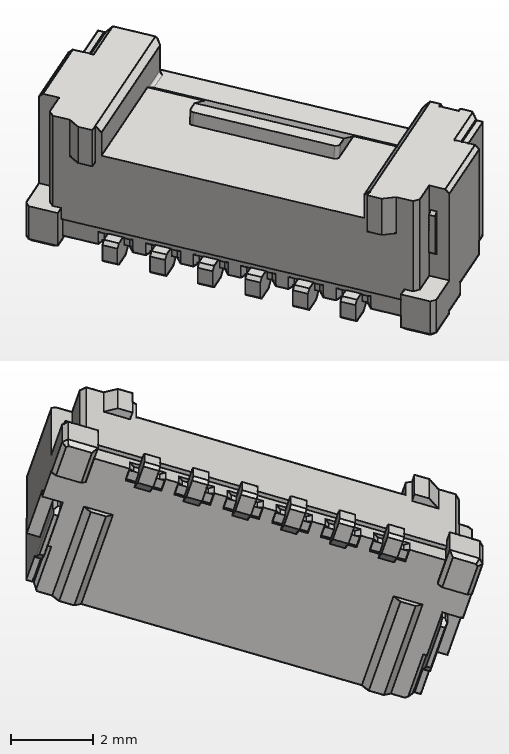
import cadquery as cq
import math

length = 10.75
depth = 4.2
height = 3.9
half_length = length / 2

housing_half = 4.85
housing_front = 0.26
housing_bottom = 0.26
housing_top_chamfer = 0.11
side_chamfer = 0.13
back_chamfer = 0.16
base_chamfer = 0.1

cheek_front = 1.0
cheek_back = 2.96
cheek_foot_back = 1.73
cheek_recess_z = 0.62

gap_half = 3.44
deck_z = 3.04
back_deck_z = 2.93
deck_edge = 3.27
ramp_angle = 30.0
gap_chamfer = 0.16
gap_fillet = 0.09
mouth_chamfer = 0.18

ridge_half = 1.96
ridge_front = 2.24
ridge_draft = 0.05
ridge_top = 3.4
ridge_corner = 0.11

stop_inner = 3.6
stop_tip = 3.98
stop_outer = 4.28
stop_front = 0.06
stop_bottom = 2.81

foot_front = 0.03
foot_inner = 4.49
foot_bottom = 0.06
foot_top = 1.17
foot_chamfer = 0.12

runner_centre = 3.96
runner_top_width = 0.74
runner_bottom_width = 0.39
runner_front = 1.68
runner_bottom = 0.06

nail_outer = 5.04
nail_inner = 4.88
nail_front = 0.9
nail_tip_bottom = 1.87
nail_tip_top = 3.17
nail_tip_chamfer = 0.09
nail_back_bottom = 0.37
nail_heel = 3.35
nail_step = 0.05
nail_sole_back = 3.12
nail_sole_front = 1.99
nail_toe = 1.82
nail_bevel = 0.1
nail_taper_height = 0.17
nail_taper = 0.04

pin_count = 6
pin_pitch = 1.25
pin_width = 0.4
pin_top = 0.65
pin_tail = 0.55
pin_top_chamfer = 0.1
pin_toe_chamfer = 0.09
pin_root = 0.97
pocket_width = 0.91
pocket_inner_width = 0.67
pocket_top = 0.62
pocket_depth = 0.09
relief_height = 0.1
relief_back = 0.7
groove_top = 0.84
groove_depth = 0.11
groove_back = housing_front + groove_depth

mark_centre = 4.13
mark_width = 0.52
mark_depth = 0.1
mark_angle = 60.0

pick_margin = 0.01


def block(x0, x1, y0, y1, z0, z1):
    return cq.Workplane("XY").box(x1 - x0, y1 - y0, z1 - z0, centered=False).translate((x0, y0, z0))


def along_x(points, x0, x1):
    """Prism with a (Y, Z) outline, spanning x0 to x1."""
    return cq.Workplane("YZ").polyline(points).close().extrude(x1 - x0).translate((x0, 0, 0))


def along_y(points, y0, y1):
    """Prism with an (X, Z) outline, spanning y0 to y1."""
    return cq.Workplane("XZ").polyline(points).close().extrude(y0 - y1).translate((0, y0, 0))


def along_z(points, z0, z1):
    """Prism with an (X, Y) outline, spanning z0 to z1."""
    return cq.Workplane("XY").workplane(offset=z0).polyline(points).close().extrude(z1 - z0)


def both_ends(shape):
    return shape.union(shape.mirror("YZ"))


def make_housing():
    housing = block(-housing_half, housing_half, housing_front, depth, housing_bottom, height)
    housing = housing.edges("|Z and <Y").chamfer(side_chamfer)
    housing = housing.edges("|Z and >Y").chamfer(back_chamfer, side_chamfer)
    for side in ("<X", ">X"):
        housing = housing.faces(side).edges("<Z").chamfer(base_chamfer)
    bevel = along_y(
        [
            (-housing_half, height),
            (side_chamfer - housing_half, height),
            (-housing_half, height - housing_top_chamfer),
        ],
        cheek_back,
        depth,
    )
    return housing.cut(both_ends(bevel))


def make_cheek():
    cheek = block(-half_length, -foot_inner, cheek_front, cheek_back, housing_bottom, height)
    cheek = cheek.edges("<X and >Z").chamfer(housing_top_chamfer)
    recess = block(-half_length, -housing_half, cheek_foot_back, cheek_back, housing_bottom, cheek_recess_z)
    return cheek.cut(recess)


def make_foot():
    foot = block(-half_length, -foot_inner, foot_front, cheek_front, foot_bottom, foot_top)
    foot = foot.edges("|Z and <X and <Y").chamfer(foot_chamfer)
    return foot.faces("<Z").edges("not(>Y)").chamfer(foot_chamfer)


def make_gap():
    ramp_foot = deck_edge + (deck_z - back_deck_z) / math.tan(math.radians(ramp_angle))
    outline = [
        (0, deck_z),
        (deck_edge, deck_z),
        (ramp_foot, back_deck_z),
        (depth, back_deck_z),
        (depth, height),
        (0, height),
    ]
    gap = along_x(outline, -gap_half, gap_half)
    floor_edges = cq.selectors.BoxSelector(
        (-half_length, ramp_foot, back_deck_z - pick_margin),
        (half_length, depth, back_deck_z + pick_margin),
    )
    gap = gap.edges(floor_edges).edges("|Y").fillet(gap_fillet)
    top_bevel = along_y(
        [(gap_half, height), (gap_half + gap_chamfer, height), (gap_half, height - gap_chamfer)], 0, depth
    )
    mouth_inner = gap_half - gap_fillet
    mouth = along_z(
        [(mouth_inner, depth), (mouth_inner + mouth_chamfer, depth), (mouth_inner, depth - mouth_chamfer)],
        back_deck_z,
        height,
    )
    return gap.union(both_ends(top_bevel)).union(both_ends(mouth))


def make_ridge():
    ramp_slope = math.tan(math.radians(ramp_angle))
    ridge_back = deck_edge - (ridge_top - deck_z) / ramp_slope
    outline = [
        (ridge_front, deck_z),
        (ridge_front + ridge_draft, ridge_top),
        (ridge_back, ridge_top),
        (deck_edge, deck_z),
    ]
    ridge = along_x(outline, -ridge_half, ridge_half)
    return ridge.faces("<Y").edges("<X or >X").fillet(ridge_corner)


def make_stop():
    outline = [
        (-stop_inner, housing_front),
        (-stop_inner, stop_front),
        (-stop_tip, stop_front),
        (-stop_outer, housing_front),
    ]
    return along_z(outline, stop_bottom, height)


def make_runner():
    top = runner_top_width / 2
    bottom = runner_bottom_width / 2
    outline = [
        (-runner_centre - top, housing_bottom),
        (-runner_centre - bottom, runner_bottom),
        (-runner_centre + bottom, runner_bottom),
        (-runner_centre + top, housing_bottom),
    ]
    return along_y(outline, runner_front, depth)


def make_nail():
    """Metal plate beside the housing: exposed at the back and below, with a tip poking out in front."""
    plate_top = height - housing_top_chamfer
    plate_back = depth - back_chamfer
    plate_outline = [
        (plate_back, plate_top),
        (plate_back, nail_back_bottom),
        (nail_heel, nail_back_bottom),
        (nail_heel - nail_step, nail_taper_height),
        (nail_sole_back, 0),
        (nail_sole_front, 0),
        (nail_toe, nail_sole_front - nail_toe),
        (nail_toe, plate_top),
    ]
    plate = along_x(plate_outline, -nail_outer, -nail_inner)
    taper = along_y(
        [(-nail_outer, nail_taper_height), (-nail_outer, 0), (nail_taper - nail_outer, 0)], 0, depth
    )
    front_bevel = along_z(
        [(-nail_outer, nail_toe), (-nail_outer, nail_toe + nail_bevel), (nail_bevel - nail_outer, nail_toe)],
        0,
        cheek_recess_z,
    )
    tip_outline = [
        (nail_front, nail_tip_bottom + nail_tip_chamfer),
        (nail_front, nail_tip_top - nail_tip_chamfer),
        (cheek_front, nail_tip_top),
        (nail_toe, nail_tip_top),
        (nail_toe, nail_tip_bottom),
        (cheek_front, nail_tip_bottom),
    ]
    tip = along_x(tip_outline, -nail_outer, -nail_inner)
    return plate.cut(taper).cut(front_bevel).union(tip)


def make_pin(x):
    outline = [
        (pin_toe_chamfer, 0),
        (0, pin_toe_chamfer),
        (0, pin_top - pin_top_chamfer),
        (pin_top_chamfer, pin_top),
        (pin_root, pin_top),
        (pin_root, pin_root - pin_tail),
        (pin_tail, 0),
    ]
    return along_x(outline, x - pin_width / 2, x + pin_width / 2)


def make_pocket(x):
    """Notch around a terminal, narrowing inwards, with a relief in the housing underside behind it."""
    pocket_height = pocket_top - housing_bottom
    pocket_back = groove_back + pocket_depth
    notch = (
        cq.Workplane("XZ", origin=(x, groove_back, pocket_top - pocket_height / 2))
        .rect(pocket_width, pocket_height)
        .workplane(offset=-pocket_depth)
        .rect(pocket_inner_width, pocket_height)
        .loft(ruled=True)
    )
    relief_outline = [
        (groove_back, housing_bottom),
        (pocket_back, housing_bottom + relief_height),
        (relief_back, housing_bottom + relief_height),
        (relief_back, housing_bottom),
    ]
    relief = along_x(relief_outline, x - pocket_width / 2, x + pocket_width / 2)
    return notch.union(relief)


def make_pin_one_mark():
    half_width = mark_width / 2
    mark_height = half_width * math.tan(math.radians(mark_angle))
    outline = [
        (mark_centre - half_width, height),
        (mark_centre + half_width, height),
        (mark_centre, height - mark_height),
    ]
    return along_y(outline, depth - mark_depth, depth)


result = make_housing().union(both_ends(make_cheek())).cut(make_gap())
result = result.union(make_ridge())
result = result.union(both_ends(make_stop()))
result = result.union(both_ends(make_runner()))
result = result.cut(make_pin_one_mark())

result = result.cut(
    block(-foot_inner, foot_inner, housing_front, groove_back, housing_bottom, groove_top)
)
result = result.union(both_ends(make_foot()))

result = result.union(both_ends(make_nail()))

first_pin = -pin_pitch * (pin_count - 1) / 2
pin_positions = [first_pin + pin_pitch * i for i in range(pin_count)]
for pin_x in pin_positions:
    result = result.cut(make_pocket(pin_x)).union(make_pin(pin_x))